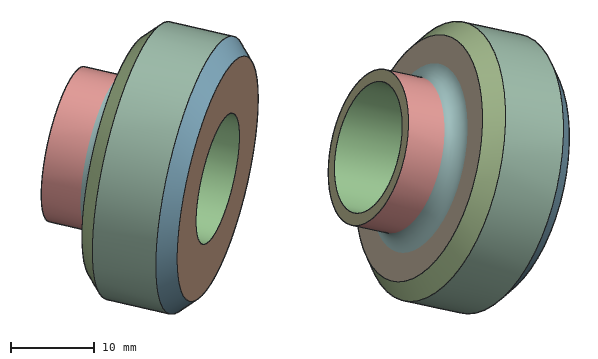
import cadquery as cq

flange_diameter = 34.0
hub_diameter = 19.0
bore_diameter = 16.0
total_length = 19.0
flange_thickness = 12.0
chamfer_size = 2.0
fillet_radius = 2.0

hub_length = total_length - flange_thickness


def cylinder_along_x(diameter, start, length):
    """Solid cylinder on the X axis, growing toward +X from start."""
    return cq.Workplane("YZ", origin=(start, 0, 0)).circle(diameter / 2).extrude(length)


flange = cylinder_along_x(flange_diameter, hub_length, flange_thickness)
flange = flange.edges("%CIRCLE").chamfer(chamfer_size)

hub = cylinder_along_x(hub_diameter, 0, hub_length)
body = flange.union(hub)
hub_root = cq.selectors.RadiusNthSelector(0)
body = body.faces("<X[1]").edges(hub_root).fillet(fillet_radius)

result = body.cut(cylinder_along_x(bore_diameter, 0, total_length))